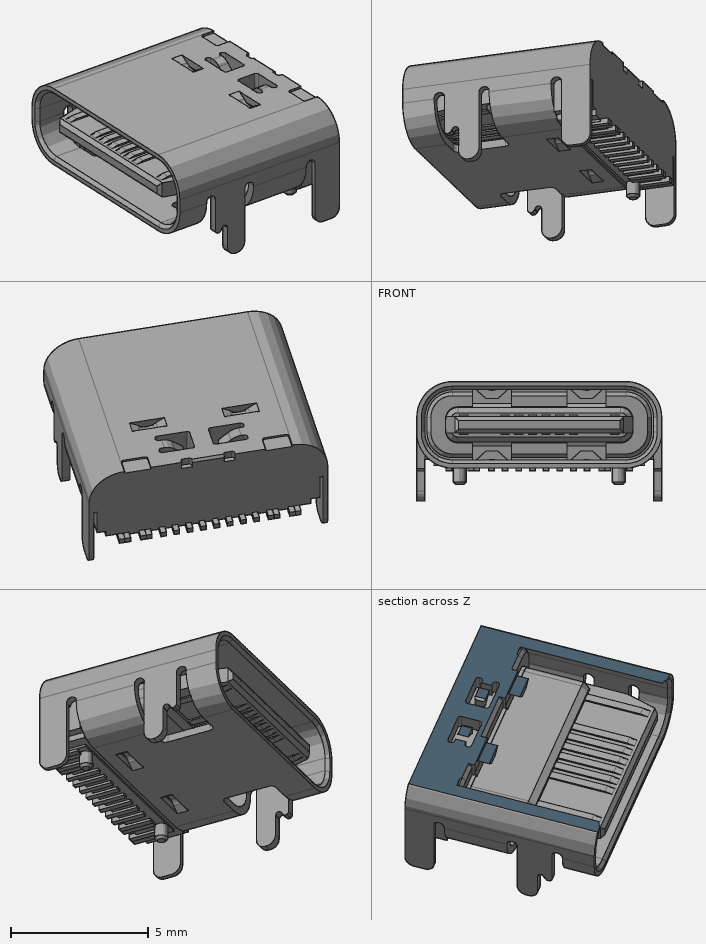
import cadquery as cq

shell_width = 8.94
shell_height = 3.16
shell_length = 7.3
shell_radius = 1.31
sheet = 0.30
mouth_lip = 0.17

half_width = shell_width / 2
mid_z = shell_height / 2
inner_half_width = half_width - sheet
inner_top = shell_height - sheet
overlap = 0.05

leg_bottom = -1.2
leg_tip_radius = 0.37
leg_root_z = 1.535
slot_width = 0.40
rear_leg_front = 6.18
rear_leg_thickness = 0.18
front_leg_front = 1.63
front_leg_narrow_front = 2.18
front_leg_back = 2.97
window_half_x = 2.25
leg_notch_radius = 0.12
leg_notch_y = 2.05
leg_tooth_drop = 0.10
leg_tooth_back = 1.90
leg_tooth_chamfer = 0.08
floor_back = rear_leg_front - slot_width

corner_recess_inner = 2.15
corner_recess_outer = 3.13
corner_recess_front = 6.70
corner_recess_radius = 0.10
corner_recess_depth = 0.08
relief_inner = 0.60
relief_outer = 1.00
relief_length = 0.17
relief_radius = 0.09
back_edge_chamfer = 0.09

latch_inner = 0.352
latch_outer = 1.656
latch_front = 5.73
latch_back = 6.63
latch_corner = 0.10
latch_arm_radius = 0.115
latch_pocket_floor = 2.25
finger_front = 5.97
finger_back = 6.386
finger_bend_start = 1.44
finger_bend_end = 1.06
finger_tip = 0.66
finger_bend_drop = 0.14
finger_tip_drop = 0.45

spring_x = 1.726
spring_length = 1.30
spring_front = 4.82
spring_back = 5.27
spring_depth = 0.32
spring_lower_start = 0.57
spring_lower_flat = 0.22
spring_bend_half = 0.338
spring_bend_z = 0.18

base_front = 5.40
flange_front = 5.60
base_gap = 0.08
base_chamfer = 0.14
rear_block_bottom = 0.32
foot_half_width = 3.84
foot_bottom = 0.09
seat_half_width = 3.41
seat_front = 5.965

pad_length = 1.43
pad_front = 5.30
pad_inner = 0.63
pad_toe_height = 0.15
pad_toe_reach = 0.09

root_half_width = 3.41
root_half_height = 0.63
collar_half_height = 0.66
collar_front = 5.25
root_step_half_height = 0.44
root_front = 2.79
root_chamfer_depth = 0.25
root_corner_radius = 0.44
tongue_half_thickness = 0.30
tongue_tip = 0.10
tongue_shoulder_half_width = 3.08
tongue_tip_half_width = 2.945
tongue_taper_end = 1.38
tongue_corner = 0.14
tip_half_height = 0.15
tip_chamfer_depth = 0.15

contact_x = [0.25, 0.75, 1.25, 2.75]
contact_width = 0.30
contact_height = 0.06
contact_front = 0.36
contact_ramp = 0.28

terminal_x = [0.25, 0.75, 1.25, 1.74, 2.28, 2.50, 3.08, 3.30]
terminal_width = 0.21
terminal_half_height = 0.10
terminal_front = 6.30
terminal_back = 7.6
peg_x = 2.90
peg_y = 6.22
peg_radius = 0.245
peg_bottom = -0.6
peg_chamfer = 0.10


def box(x0, x1, y0, y1, z0, z1):
    """Axis-aligned box between two corners."""
    return cq.Workplane("XY").box(x1 - x0, y1 - y0, z1 - z0, centered=False).translate((x0, y0, z0))


def stadium(offset, y0, y1):
    """Rounded shell outline, shrunk inward by offset, extruded from y0 to y1."""
    width = shell_width - 2 * offset
    height = shell_height - 2 * offset
    block = cq.Workplane("XY").box(width, y1 - y0, height)
    block = block.edges("|Y").fillet(shell_radius - offset)
    return block.translate((0, (y0 + y1) / 2, mid_z))


def front_profile(y):
    """Workplane with local axes X and Z at depth y; extrusions run toward +Y when negative."""
    return cq.Workplane("XZ", origin=(0, y, 0))


def both_sides(body):
    """The body together with its mirror image across X = 0."""
    return body.union(body.mirror("YZ"))


def top_and_bottom(body):
    """The body together with its mirror image across the mid-height plane."""
    return body.union(body.mirror("XY", (0, 0, mid_z)))


def make_mouth_flare():
    """Tapered cutter that chamfers the inner edge of the shell mouth."""
    chamfer = sheet - mouth_lip
    return stadium(mouth_lip, -overlap, chamfer).faces(">Y").chamfer(chamfer)


def make_tube():
    """Folded sheet tube with a chamfered mouth."""
    tube = stadium(0, 0, shell_length).cut(stadium(sheet, 0, shell_length))
    return tube.cut(make_mouth_flare())


def make_leg_window(y0, y1):
    """Opening in the lower side wall and floor, from which one leg is unfolded."""
    straight_top = leg_root_z - slot_width / 2
    side = box(window_half_x, half_width + overlap, y0, y1, -overlap, straight_top)
    return side.edges("|Z and <X").fillet(slot_width / 2)


def make_slot_end(y0):
    """Rounded upper end of one slot beside a leg."""
    center_z = leg_root_z - slot_width / 2
    end = cq.Workplane("YZ", origin=(window_half_x, 0, 0))
    end = end.center(y0 + slot_width / 2, center_z).circle(slot_width / 2)
    return end.extrude(half_width - window_half_x + overlap)


def make_leg_plate(y0, y1, z0):
    """Flat side plate between two depths, from z0 up to the straight part of the wall."""
    return box(inner_half_width, half_width, y0, y1, z0, mid_z)


def make_rear_leg():
    """Thinned leg, flush with the outside of the wall."""
    leg = make_leg_plate(rear_leg_front, shell_length, leg_bottom)
    inner_x = half_width - rear_leg_thickness
    leg = leg.cut(box(inner_half_width, inner_x, rear_leg_front, shell_length, leg_bottom, leg_root_z))
    return leg.edges("|X and <Z").fillet(leg_tip_radius)


def make_front_leg():
    """Leg with a small tooth on a shoulder ahead of it, separated by a round notch."""
    leg = make_leg_plate(front_leg_narrow_front, front_leg_back, leg_bottom)
    leg = leg.edges("|X and <Z").fillet(leg_tip_radius)
    tooth = make_leg_plate(front_leg_front, leg_tooth_back, -leg_tooth_drop)
    tooth = tooth.edges("|X and <Z").chamfer(leg_tooth_chamfer)
    bridge = make_leg_plate(front_leg_front, front_leg_back, 0)
    notch = cq.Workplane("YZ", origin=(inner_half_width, 0, 0))
    notch = notch.center(leg_notch_y, 0).circle(leg_notch_radius).extrude(sheet)
    return leg.union(tooth).union(bridge.cut(notch))


def make_shell():
    """Tube with leg windows, an open floor at the back and two legs on each side."""
    shell = make_tube()
    rear_window = make_leg_window(rear_leg_front - slot_width, shell_length + slot_width)
    front_window = make_leg_window(front_leg_front - slot_width, front_leg_back + slot_width)
    windows = rear_window.union(front_window)
    for slot_start in (rear_leg_front - slot_width, front_leg_front - slot_width, front_leg_back):
        windows = windows.union(make_slot_end(slot_start))
    shell = shell.cut(both_sides(windows))
    shell = shell.cut(box(-half_width, half_width, floor_back, shell_length, -overlap, sheet))
    return shell.union(both_sides(make_rear_leg().union(make_front_leg())))


def make_housing():
    """Base behind the cavity with a chamfered front rim, a fitted flange and a stepped underside."""
    base = stadium(sheet + base_gap, base_front, shell_length)
    base = base.faces("<Y").chamfer(base_chamfer)
    flange = stadium(sheet, flange_front, shell_length)
    rear_block = box(-inner_half_width, inner_half_width, floor_back, shell_length,
                     rear_block_bottom, mid_z)
    foot = box(-foot_half_width, foot_half_width, floor_back, shell_length, foot_bottom, mid_z)
    seat = box(-seat_half_width, seat_half_width, seat_front, shell_length, 0, mid_z)
    return base.union(flange).union(rear_block).union(foot).union(seat)


def make_tongue():
    """Thin tapered tongue with a beveled tip, standing on a thicker rounded root."""
    step_inset = root_half_height - root_step_half_height
    root = box(-root_half_width, root_half_width, root_front, base_front + overlap,
               mid_z - root_half_height, mid_z + root_half_height)
    root = root.edges("|Y").fillet(root_corner_radius)
    root = root.faces("<Y").chamfer(step_inset, root_chamfer_depth)
    collar = box(-root_half_width, root_half_width, collar_front, base_front + overlap,
                 mid_z - collar_half_height, mid_z + collar_half_height)
    root = root.union(collar.edges("|Y").fillet(root_corner_radius))

    plan = [
        (root_half_width, root_front + root_chamfer_depth),
        (root_half_width, tongue_taper_end),
        (tongue_shoulder_half_width, tongue_tip + tongue_corner),
        (tongue_tip_half_width, tongue_tip),
    ]
    plan += [(-x, y) for x, y in reversed(plan)]
    blade = cq.Workplane("XY", origin=(0, 0, mid_z)).polyline(plan).close()
    blade = blade.extrude(tongue_half_thickness, both=True)

    section = [
        (tongue_tip, tip_half_height),
        (tongue_tip + tip_chamfer_depth, tongue_half_thickness),
        (base_front, tongue_half_thickness),
    ]
    section += [(y, -z) for y, z in reversed(section)]
    bevel = cq.Workplane("YZ", origin=(0, 0, mid_z)).polyline(section).close()
    bevel = bevel.extrude(root_half_width, both=True)
    return root.union(blade.intersect(bevel))


def make_contacts():
    """Contact strips on both faces of the tongue, each with a ramped front end."""
    surface = mid_z + tongue_half_thickness
    strip_profile = [
        (contact_front, surface - overlap),
        (contact_front, surface),
        (contact_front + contact_ramp, surface + contact_height),
        (root_front + overlap, surface + contact_height),
        (root_front + overlap, surface - overlap),
    ]
    strip = cq.Workplane("YZ").polyline(strip_profile).close().extrude(contact_width / 2, both=True)
    strips = cq.Workplane("XY")
    for x in contact_x:
        strips = strips.add(strip.translate((x, 0, 0)))
    return top_and_bottom(both_sides(strips.combine()))


def make_shield_pads():
    """Pads between the tongue root and the shell, each with a sloping toe at the root."""
    pad_bottom = mid_z + pad_inner
    profile = [
        (flange_front, pad_bottom),
        (pad_front - pad_toe_reach, pad_bottom),
        (pad_front, pad_bottom + pad_toe_height),
        (pad_front, inner_top),
        (flange_front, inner_top),
    ]
    pad = cq.Workplane("YZ", origin=(spring_x, 0, 0)).polyline(profile).close()
    pad = pad.extrude(pad_length / 2, both=True)
    return top_and_bottom(both_sides(pad))


def make_spring_windows():
    """Rectangular openings in the roof and floor sheets."""
    window = box(spring_x - spring_length / 2, spring_x + spring_length / 2, spring_front, spring_back,
                 inner_top - overlap, shell_height + overlap)
    return top_and_bottom(both_sides(window))


def make_springs():
    """Sheet strips dipping inward across the spring windows."""
    left = spring_x - spring_length / 2
    right = spring_x + spring_length / 2
    bend_z = shell_height - spring_bend_z
    dip_bottom = (spring_x, shell_height - spring_depth)
    dip_end = (spring_x + spring_bend_half, bend_z)
    spring = front_profile(spring_front).moveTo(left, shell_height)
    spring = spring.lineTo(spring_x - spring_bend_half, bend_z)
    spring = spring.threePointArc(dip_bottom, dip_end)
    spring = spring.lineTo(right, shell_height).lineTo(right, inner_top)
    spring = spring.lineTo(spring_x + spring_lower_start, inner_top)
    spring = spring.lineTo(spring_x + spring_lower_flat, inner_top - spring_depth)
    spring = spring.lineTo(spring_x - spring_lower_flat, inner_top - spring_depth)
    spring = spring.lineTo(spring_x - spring_lower_start, inner_top)
    spring = spring.lineTo(left, inner_top).close()
    return top_and_bottom(both_sides(spring.extrude(spring_front - spring_back)))


def make_latch_pockets():
    """U-shaped openings in the roof, sunk into the housing below."""
    arm_width = latch_back - finger_back
    pocket = box(latch_inner, latch_outer, latch_front, latch_back,
                 latch_pocket_floor, shell_height + overlap)
    pocket = pocket.edges("|Z and <X").fillet(latch_corner)
    finger_root = box(finger_bend_start, latch_outer, latch_front + arm_width, finger_back,
                      latch_pocket_floor, shell_height + overlap)
    pocket = pocket.cut(finger_root)
    pocket = pocket.edges("|Z").edges(">X").fillet(latch_arm_radius)
    return both_sides(pocket)


def make_latch_fingers():
    """Fingers bending down from the outer end of each latch opening toward the middle."""
    bend_z = shell_height - finger_bend_drop
    tip_z = shell_height - finger_tip_drop
    finger = front_profile(finger_front).moveTo(latch_outer, shell_height)
    finger = finger.lineTo(finger_bend_start, shell_height)
    finger = finger.tangentArcPoint((finger_bend_end, bend_z), relative=False)
    finger = finger.lineTo(finger_tip, tip_z).lineTo(finger_tip, tip_z - sheet)
    finger = finger.lineTo(finger_bend_end, bend_z - sheet)
    finger = finger.lineTo(finger_bend_start, inner_top)
    finger = finger.lineTo(latch_outer, inner_top).close()
    finger = finger.extrude(finger_front - finger_back)
    return both_sides(finger.edges("|Z and <X").fillet(latch_corner))


def make_roof_cuts():
    """Rear corner recesses, relief notches and the beveled rear edge between the notches."""
    recess = box(corner_recess_inner, corner_recess_outer, corner_recess_front, shell_length + overlap,
                 shell_height - corner_recess_depth, shell_height + overlap)
    recess = recess.edges("|Z and <Y").fillet(corner_recess_radius)
    relief = box(relief_inner, relief_outer, shell_length - relief_length, shell_length + overlap,
                 inner_top, shell_height + overlap)
    relief = relief.edges("|Z and <Y").fillet(relief_radius)
    bevel_profile = [
        (shell_length - back_edge_chamfer, shell_height),
        (shell_length, shell_height),
        (shell_length, shell_height - back_edge_chamfer),
    ]
    bevel = cq.Workplane("YZ").polyline(bevel_profile).close().extrude(relief_inner, both=True)
    return both_sides(recess.union(relief)).union(bevel)


def make_terminals():
    """Solder terminals in a row, reaching out behind the shell."""
    terminals = cq.Workplane("XY")
    for x in terminal_x:
        terminals = terminals.add(box(x - terminal_width / 2, x + terminal_width / 2, terminal_front,
                                      terminal_back, -terminal_half_height, terminal_half_height))
    return both_sides(terminals.combine())


def make_pegs():
    """Round locating pegs with chamfered ends below the housing."""
    peg = cq.Workplane("XY", origin=(peg_x, peg_y, peg_bottom))
    peg = peg.circle(peg_radius).extrude(mid_z - peg_bottom).faces("<Z").chamfer(peg_chamfer)
    return both_sides(peg)


result = make_shell().union(make_housing()).union(make_tongue())
result = result.union(make_contacts()).union(make_shield_pads())
result = result.cut(make_spring_windows()).union(make_springs())
result = result.cut(make_latch_pockets()).union(make_latch_fingers())
result = result.cut(make_roof_cuts())
result = result.union(make_terminals()).union(make_pegs())